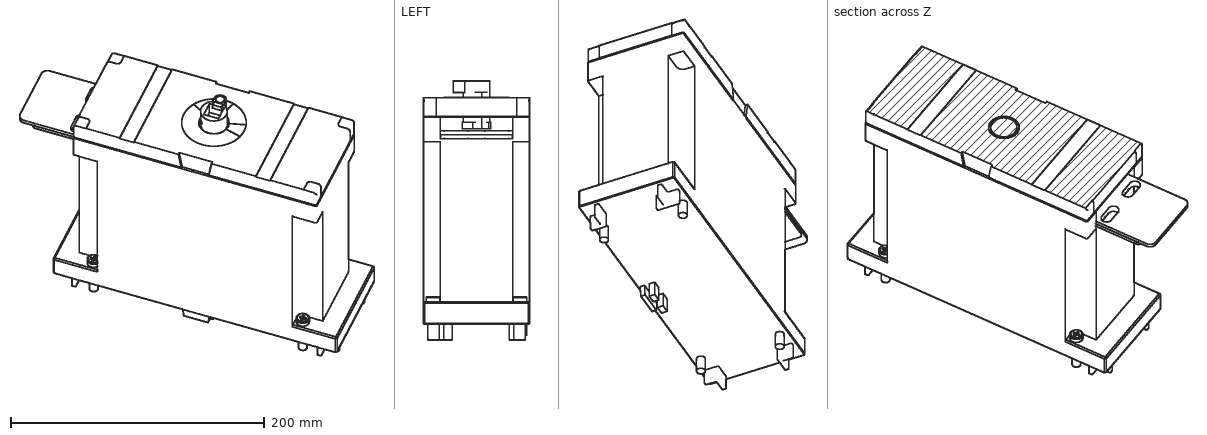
import cadquery as cq
import math

FOOT_DROP = 12.7
BASE_TOP = 17.4
FLANGE_BOTTOM = 144.0
WINDOW_FLOOR = 146.4
CAP_BOTTOM = 163.2
CAP_TOP = 178.7
KNOB_TOP = 192.0

BASE_LENGTH = 240.0
WIDTH = 84.0
BODY_LENGTH = 206.0
BASE_CHAMFER = 1.2
BASE_LOWER_CHAMFER = 0.6
CORNER_RADIUS = 1.2
CORE_WIDTH = 57.2
COVE_RADIUS = 5.9
SCREW_X = 88.4
SCREW_Y = CORE_WIDTH / 2 + COVE_RADIUS
FLANK_LENGTH = 2 * (SCREW_X - COVE_RADIUS)

WINDOW_END_X = FLANK_LENGTH / 2
PLATE_THICKNESS = 3.0
UPPER_PLATE_X = -155.0
UPPER_PLATE_RADIUS = 5.3
LOWER_PLATE_X = -143.3
LOWER_PLATE_WIDTH = CORE_WIDTH - 0.4
LOWER_PLATE_RADIUS = 3.4
SLOT_X = -108.2
SLOT_Y = 16.1
SLOT_LENGTH = 19.0
SLOT_WIDTH = 8.6

CAP_EDGE_RADIUS = 3.1
SEAM_HEIGHT = 0.8
SEAM_DEPTH = 0.5
PAD_LENGTH = 11.0
PAD_WIDTH = 10.1
PAD_RADIUS = 3.0
PAD_SINK = 0.2
BAND_X = 57.6
BAND_LENGTH = 12.1
BAND_DEPTH = 0.8
LABEL_TOP_LENGTH = 28.0
LABEL_BOTTOM_LENGTH = 22.8
LABEL_DEPTH = 2.0

DIAL_RADIUS = 25.5
DIAL_RISE = 0.1
MARK_RISE = 0.35
SECTOR_RISE = 0.2
DIAL_SECTORS = [
    (-15.5, 15.5, MARK_RISE),
    (74.0, 109.0, MARK_RISE),
    (109.0, 150.0, SECTOR_RISE),
]
KNOB_RADIUS = 10.6
KNOB_GAP = 1.3
KNOB_GAP_DEPTH = 2.0
KNOB_BOTTOM = 154.2
KNOB_COLLAR_RADIUS = 11.2
KNOB_COLLAR_HEIGHT = 5.0
KNOB_SOCKET = 12.4
KNOB_SOCKET_DEPTH = 10.0
FLAT_TOP = 183.0
FLAT_ANGLES = (188.5, 215.5)
FLAT_DISTANCE = KNOB_RADIUS * math.cos(math.radians((FLAT_ANGLES[1] - FLAT_ANGLES[0]) / 2))
LOOP_BOTTOM = 182.6
LOOP_Y = 13.6
LOOP_RADIUS = 4.8
LOOP_HOLE_RADIUS = 3.4
LOOP_NOTCH_WIDTH = 8.0
LOOP_NOTCH_END_Y = 9.5
LOOP_NOTCH_DEPTH = 4.0

STUD_RADIUS = 3.5
HEAD_RADIUS = 5.3
HEAD_HEIGHT = 4.3
HEAD_CHAMFER = 0.9
CROSS_LENGTH = 5.0
CROSS_WIDTH = 1.4
CROSS_DEPTH = 2.0

FOOT_THICKNESS = 3.6
FOOT_INNER_X = 102.0
FOOT_OUTER_X = 116.6
FOOT_INNER_Y = 25.7
FOOT_OUTER_Y = 38.5
FOOT_TAIL_Y = 19.0
FOOT_EDGE_RADIUS = 0.8
CLIP_OUTER_Y = -39.8
CLIP_INNER_Y = -36.0
CLIP_HALF_LENGTH = 11.4
CLIP_NARROWING = 1.1
CLIP_DROP = 9.0
CLIP_LEG_GAP = 7.6
CLIP_LEG_OUTER_Y = -32.0
CLIP_LEG_INNER_Y = -27.0

SIGNS = (-1, 1)
CORNERS = [(sx, sy) for sx in SIGNS for sy in SIGNS]


def span_box(x0, x1, y0, y1, z0, z1):
    """Box between two corner positions."""
    return cq.Workplane("XY").box(x1 - x0, y1 - y0, z1 - z0, centered=False).translate((x0, y0, z0))


def cylinder(radius, z0, z1, x=0.0, y=0.0):
    """Upright cylinder between two heights."""
    return cq.Workplane("XY", origin=(x, y, z0)).circle(radius).extrude(z1 - z0)


def centred_block(length, width, z0, z1):
    """Box centred on the Z axis between two heights."""
    return span_box(-length / 2, length / 2, -width / 2, width / 2, z0, z1)


def make_base():
    """Base plate with all its edges chamfered."""
    block = centred_block(BASE_LENGTH, WIDTH, 0, BASE_TOP)
    block = block.edges("|Z or >Z").chamfer(BASE_CHAMFER)
    return block.faces("<Z").edges().chamfer(BASE_LOWER_CHAMFER)


def make_body():
    """Cross-shaped column with coved inner corners, carrying a full-size flange."""
    core = centred_block(BODY_LENGTH, CORE_WIDTH, BASE_TOP, CAP_BOTTOM)
    flanks = centred_block(FLANK_LENGTH, WIDTH, BASE_TOP / 2, CAP_BOTTOM)
    body = core.union(flanks)
    for sx, sy in CORNERS:
        corner_x = sx * FLANK_LENGTH / 2
        corner_y = sy * CORE_WIDTH / 2
        x0, x1 = sorted((corner_x, sx * SCREW_X))
        y0, y1 = sorted((corner_y, sy * SCREW_Y))
        cove = span_box(x0, x1, y0, y1, BASE_TOP, FLANGE_BOTTOM)
        cove = cove.cut(cylinder(COVE_RADIUS, BASE_TOP, FLANGE_BOTTOM, sx * SCREW_X, sy * SCREW_Y))
        body = body.union(cove)
    flange = centred_block(BODY_LENGTH, WIDTH, FLANGE_BOTTOM, CAP_BOTTOM)
    return body.union(flange.edges("|Z").fillet(CORNER_RADIUS))


def make_window():
    """Opening in the -X end of the flange, running back under the cap."""
    half = CORE_WIDTH / 2
    return span_box(-BODY_LENGTH / 2, WINDOW_END_X, -half, half, WINDOW_FLOOR, CAP_BOTTOM)


def make_terminal_plate(start_x, width, corner_radius, z0):
    """Flat bar with rounded outer corners and two slots across it."""
    half = width / 2
    plate = span_box(start_x, WINDOW_END_X, -half, half, z0, z0 + PLATE_THICKNESS)
    plate = plate.edges("|Z and <X").fillet(corner_radius)
    slots = (
        cq.Workplane("XY", origin=(0, 0, z0))
        .pushPoints([(SLOT_X, sy * SLOT_Y) for sy in SIGNS])
        .slot2D(SLOT_LENGTH, SLOT_WIDTH, 90)
        .extrude(PLATE_THICKNESS)
    )
    return plate.cut(slots)


def make_cap_block(length, top):
    """Plain cap with rounded upright corners and rounded top edges at both ends."""
    block = centred_block(length, WIDTH, CAP_BOTTOM, top)
    block = block.edges("|Z").fillet(CORNER_RADIUS)
    profile = (
        cq.Workplane("XZ", origin=(0, WIDTH / 2, 0))
        .rect(length, 2 * top)
        .extrude(WIDTH)
        .edges("|Y and >Z")
        .fillet(CAP_EDGE_RADIUS)
    )
    return block.intersect(profile)


def make_corner_pads():
    """Four upright columns marking the cap's corner pads."""
    pads = cq.Workplane("XY")
    for sx, sy in CORNERS:
        x0, x1 = sorted((sx * (BODY_LENGTH / 2 - PAD_LENGTH), sx * BODY_LENGTH / 2))
        y0, y1 = sorted((sy * (WIDTH / 2 - PAD_WIDTH), sy * WIDTH / 2))
        pad = span_box(x0, x1, y0, y1, CAP_BOTTOM, CAP_TOP)
        side_x = "<X" if sx > 0 else ">X"
        side_y = "<Y" if sy > 0 else ">Y"
        inner_edge = pad.edges(f"|Z and {side_x} and {side_y}")
        pads = pads.union(inner_edge.fillet(PAD_RADIUS))
    return pads


def make_label_recess(sy):
    """Tapered shallow recess in one long side of the cap."""
    half_top = LABEL_TOP_LENGTH / 2
    half_bottom = LABEL_BOTTOM_LENGTH / 2
    outline = [
        (-half_bottom, CAP_BOTTOM),
        (half_bottom, CAP_BOTTOM),
        (half_top, CAP_TOP),
        (-half_top, CAP_TOP),
    ]
    recess = cq.Workplane("XZ").polyline(outline).close().extrude(LABEL_DEPTH)
    start_y = WIDTH / 2 if sy > 0 else LABEL_DEPTH - WIDTH / 2
    return recess.translate((0, start_y, 0))


def make_cap():
    """Cap with sunk corner pads, two cross bands, label recesses and a seam at its foot."""
    pads = make_corner_pads()
    sunk_block = make_cap_block(BODY_LENGTH - 2 * PAD_SINK, CAP_TOP - PAD_SINK)
    cap = make_cap_block(BODY_LENGTH, CAP_TOP).cut(pads).union(sunk_block.intersect(pads))
    for side in SIGNS:
        band = centred_block(BAND_LENGTH, WIDTH, CAP_TOP - BAND_DEPTH, CAP_TOP)
        cap = cap.cut(band.translate((side * BAND_X, 0, 0)))
        cap = cap.cut(make_label_recess(side))
    seam_top = CAP_BOTTOM + SEAM_HEIGHT
    seam = centred_block(BODY_LENGTH, WIDTH, CAP_BOTTOM, seam_top)
    inset = 2 * SEAM_DEPTH
    seam = seam.cut(centred_block(BODY_LENGTH - inset, WIDTH - inset, CAP_BOTTOM, seam_top))
    return cap.cut(seam)


def make_dial_sector(start_angle, end_angle, rise):
    """Raised sector of the dial between two angles in degrees."""
    def on_rim(angle):
        turn = math.radians(angle)
        return (DIAL_RADIUS * math.cos(turn), DIAL_RADIUS * math.sin(turn))

    return (
        cq.Workplane("XY", origin=(0, 0, CAP_TOP))
        .lineTo(*on_rim(start_angle))
        .threePointArc(on_rim((start_angle + end_angle) / 2), on_rim(end_angle))
        .close()
        .extrude(rise)
    )


def make_dial():
    """Thin disc around the knob, carrying the raised sectors."""
    dial = cylinder(DIAL_RADIUS, CAP_TOP, CAP_TOP + DIAL_RISE)
    for start_angle, end_angle, rise in DIAL_SECTORS:
        dial = dial.union(make_dial_sector(start_angle, end_angle, rise))
    return dial


def make_knob_gap():
    """Ring-shaped clearance sunk into the cap around the knob."""
    floor = CAP_TOP - KNOB_GAP_DEPTH
    return cylinder(KNOB_RADIUS + KNOB_GAP, floor, CAP_TOP + MARK_RISE)


def make_knob():
    """Knob with a square socket, side flats and a locking loop, on a shaft through the cap."""
    knob = cylinder(KNOB_RADIUS, KNOB_BOTTOM, KNOB_TOP)
    collar = cylinder(KNOB_COLLAR_RADIUS, KNOB_BOTTOM, KNOB_BOTTOM + KNOB_COLLAR_HEIGHT)
    knob = knob.union(collar)
    flat = span_box(FLAT_DISTANCE, DIAL_RADIUS, -KNOB_RADIUS, KNOB_RADIUS, KNOB_BOTTOM, FLAT_TOP)
    for angle in FLAT_ANGLES:
        knob = knob.cut(flat.rotate((0, 0, 0), (0, 0, 1), angle))

    loop = cylinder(LOOP_RADIUS, LOOP_BOTTOM, KNOB_TOP, 0, LOOP_Y)
    neck = span_box(-LOOP_RADIUS, LOOP_RADIUS, 0, LOOP_Y, LOOP_BOTTOM, KNOB_TOP)
    hole = cylinder(LOOP_HOLE_RADIUS, LOOP_BOTTOM, KNOB_TOP, 0, LOOP_Y)
    knob = knob.union(loop).union(neck).cut(hole)
    half_notch = LOOP_NOTCH_WIDTH / 2
    notch_floor = KNOB_TOP - LOOP_NOTCH_DEPTH
    knob = knob.cut(span_box(-half_notch, half_notch, 0, LOOP_NOTCH_END_Y, notch_floor, KNOB_TOP))
    return knob.cut(centred_block(KNOB_SOCKET, KNOB_SOCKET, KNOB_TOP - KNOB_SOCKET_DEPTH, KNOB_TOP))


def make_screw(x, y):
    """Fixing screw: cross-recessed head on the base and a stud below it."""
    head_top = BASE_TOP + HEAD_HEIGHT
    head = cylinder(HEAD_RADIUS, BASE_TOP, head_top).faces(">Z").chamfer(HEAD_CHAMFER)
    recess_floor = head_top - CROSS_DEPTH
    for length, width in ((CROSS_LENGTH, CROSS_WIDTH), (CROSS_WIDTH, CROSS_LENGTH)):
        head = head.cut(centred_block(length, width, recess_floor, head_top))
    return head.union(cylinder(STUD_RADIUS, -FOOT_DROP, BASE_TOP)).translate((x, y, 0))


def make_foot(sx, sy, tail_y):
    """Foot of two joined upright plates; the crosswise plate starts at tail_y."""
    lengthwise = span_box(
        FOOT_INNER_X, FOOT_OUTER_X, FOOT_INNER_Y, FOOT_INNER_Y + FOOT_THICKNESS, -FOOT_DROP, 0
    )
    crosswise = span_box(
        FOOT_INNER_X, FOOT_INNER_X + FOOT_THICKNESS, tail_y, FOOT_OUTER_Y, -FOOT_DROP, 0
    )
    foot = lengthwise.union(crosswise)
    foot = foot.edges("|Z or <Z").fillet(FOOT_EDGE_RADIUS)
    if sx < 0:
        foot = foot.mirror("YZ")
    if sy < 0:
        foot = foot.mirror("XZ")
    return foot


def make_clip():
    """Tapered tongue near the -Y edge with a pair of longer legs behind it."""
    half = CLIP_HALF_LENGTH
    narrow_half = half - CLIP_NARROWING
    outline = [(-half, 0), (half, 0), (narrow_half, -CLIP_DROP), (-narrow_half, -CLIP_DROP)]
    tongue = (
        cq.Workplane("XZ", origin=(0, CLIP_INNER_Y, 0))
        .polyline(outline)
        .close()
        .extrude(CLIP_INNER_Y - CLIP_OUTER_Y)
    )
    for side in SIGNS:
        x0, x1 = sorted((side * CLIP_LEG_GAP / 2, side * half))
        tongue = tongue.union(span_box(x0, x1, CLIP_LEG_OUTER_Y, CLIP_LEG_INNER_Y, -FOOT_DROP, 0))
    return tongue


def make_part():
    """Join the base, body, plates, cap, knob and fixings into one solid."""
    part = make_base().union(make_body()).cut(make_window())
    upper_z = WINDOW_FLOOR + PLATE_THICKNESS
    lower_plate = make_terminal_plate(LOWER_PLATE_X, LOWER_PLATE_WIDTH, LOWER_PLATE_RADIUS, WINDOW_FLOOR)
    upper_plate = make_terminal_plate(UPPER_PLATE_X, CORE_WIDTH, UPPER_PLATE_RADIUS, upper_z)
    part = part.union(lower_plate).union(upper_plate)
    part = part.union(make_cap()).union(make_dial()).cut(make_knob_gap()).union(make_knob())
    for sx, sy in CORNERS:
        part = part.union(make_screw(sx * SCREW_X, sy * SCREW_Y))
        has_tail = sx > 0 and sy > 0
        part = part.union(make_foot(sx, sy, FOOT_TAIL_Y if has_tail else FOOT_INNER_Y))
    return part.union(make_clip())


result = make_part()